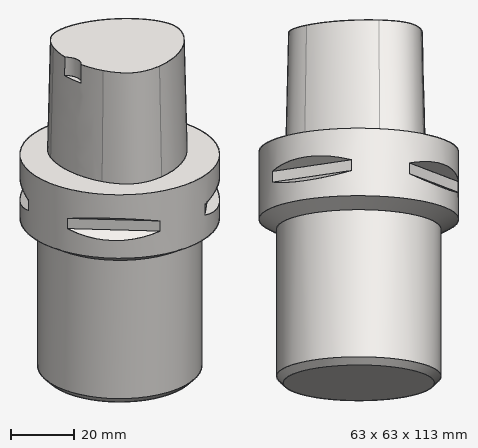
import cadquery as cq
import math

total_height = 113.0
flange_radius = 63.0 / 2
shank_radius = 52.0 / 2
shank_chamfer = 2.1
taper_length = 38.0
flange_top = total_height - taper_length
flange_rim_height = 21.9
shoulder_angle = 30.0

polygon_base_radius = 22.0
polygon_top_radius = 21.1
lobe_offset = 1.4
flat_half_angle = 24.0
lobe_count = 3
points_per_stretch = 9

notch_width = 7.5
notch_height = 6.3
notch_floor_y = -17.9
notch_sag = 1.6

groove_count = 4
groove_center_z = 63.0
groove_floor_height = 3.5
groove_floor_distance = 27.9
groove_flank_angle = 30.0


def make_body():
    """Revolve the shank, conical shoulder and flange."""
    rim_bottom = flange_top - flange_rim_height
    shoulder_rise = (flange_radius - shank_radius) * math.tan(math.radians(shoulder_angle))
    return (
        cq.Workplane("XZ")
        .lineTo(shank_radius - shank_chamfer, 0)
        .lineTo(shank_radius, shank_chamfer)
        .lineTo(shank_radius, rim_bottom - shoulder_rise)
        .lineTo(flange_radius, rim_bottom)
        .lineTo(flange_radius, flange_top)
        .lineTo(0, flange_top)
        .close()
        .revolve(360, (0, 0, 0), (0, 1, 0))
    )


def polygon_point(mean_radius, normal_angle, z):
    """Point of the lobed curve whose outward normal has the given angle, in degrees."""
    angle = math.radians(normal_angle)
    lobe_phase = lobe_count * (angle - math.pi / 2)
    support = mean_radius + lobe_offset * math.cos(lobe_phase)
    slope = -lobe_count * lobe_offset * math.sin(lobe_phase)
    x = support * math.cos(angle) - slope * math.sin(angle)
    y = support * math.sin(angle) + slope * math.cos(angle)
    return cq.Vector(x, y, z)


def polygon_wire(mean_radius, z):
    """Closed lobed outline, split where the flatter sides meet the lobes."""
    pitch = 360.0 / lobe_count
    edges = []
    for side in range(lobe_count):
        middle = -90 + side * pitch
        breaks = (middle - flat_half_angle, middle + flat_half_angle, middle + pitch - flat_half_angle)
        for start, end in zip(breaks, breaks[1:]):
            step = (end - start) / (points_per_stretch - 1)
            points = [polygon_point(mean_radius, start + i * step, z) for i in range(points_per_stretch)]
            edges.append(cq.Edge.makeSpline(points))
    return cq.Wire.assembleEdges(edges)


def make_polygon_taper():
    base = polygon_wire(polygon_base_radius, flange_top)
    top = polygon_wire(polygon_top_radius, total_height)
    return cq.Workplane(obj=cq.Solid.makeLoft([base, top], True))


def make_notch():
    """Cylindrical cutter whose arc has the notch width and sag."""
    radius = ((notch_width / 2) ** 2 + notch_sag**2) / (2 * notch_sag)
    return (
        cq.Workplane("XY", origin=(0, notch_floor_y - radius, total_height - notch_height))
        .circle(radius)
        .extrude(notch_height)
    )


def make_groove(direction):
    """Straight groove with a flat floor and flared flanks, facing the given angle."""
    depth = flange_radius - groove_floor_distance
    floor_half = groove_floor_height / 2
    mouth_half = floor_half + depth * math.tan(math.radians(groove_flank_angle))
    return (
        cq.Workplane("XZ", origin=(0, 0, groove_center_z))
        .moveTo(groove_floor_distance, -floor_half)
        .lineTo(flange_radius, -mouth_half)
        .lineTo(flange_radius, mouth_half)
        .lineTo(groove_floor_distance, floor_half)
        .close()
        .extrude(flange_radius, both=True)
        .rotate((0, 0, 0), (0, 0, 1), direction)
    )


result = make_body().union(make_polygon_taper()).cut(make_notch())
groove_pitch = 360.0 / groove_count
for index in range(groove_count):
    result = result.cut(make_groove((index + 0.5) * groove_pitch))